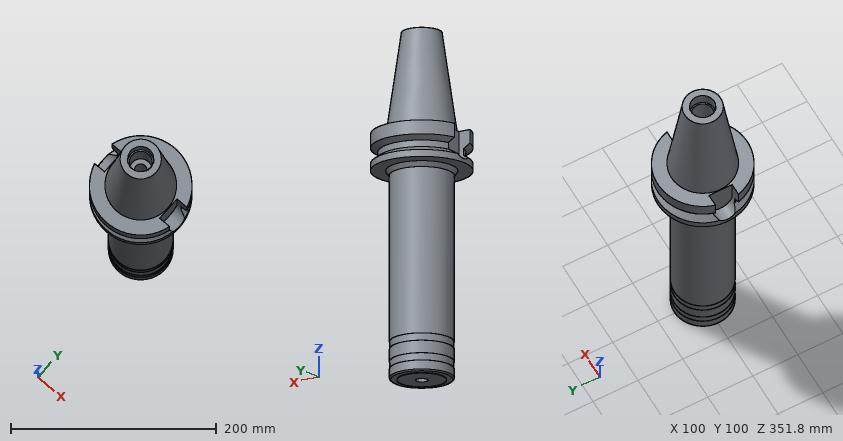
import cadquery as cq

total_length = 351.8
taper_length = 101.5
gauge_z = total_length / 2 - taper_length
bottom_z = -total_length / 2

gauge_radius = 35.0
taper_ratio = 7 / 24
taper_tip_radius = gauge_radius - taper_length * taper_ratio / 2

flange_radius = 50.0
groove_radius = 43.0
flange_top_z = gauge_z - 1.0
upper_rim_z = gauge_z - 15.0
groove_top_z = gauge_z - 19.5
groove_bottom_z = gauge_z - 26.0
lower_rim_z = gauge_z - 31.0
flange_bottom_z = gauge_z - 38.0

body_radius = 31.5
neck_radius = 35.2
neck_bottom_z = flange_bottom_z - 5.0
end_chamfer = 1.5

pad_radius = 24.3
pad_height = 0.7
end_face_z = bottom_z + pad_height

ring_depth = 0.5
ring_width = 7.5
ring_pitch = 20.0
ring_count = 2
lowest_ring_z = bottom_z + 11.3

slot_width = 25.7
slot_wall_x = 35.5
slot_bottom_z = gauge_z - 34.0

coolant_diameter = 12.0
socket_diameter = 25.5
socket_depth = 12.5
thread_diameter = 22.0
thread_depth = 42.2


def revolved_body():
    """Taper, grooved flange and cylindrical body as one revolved outline."""
    outline = [
        (0, bottom_z),
        (pad_radius, bottom_z),
        (pad_radius, end_face_z),
        (body_radius - end_chamfer, end_face_z),
        (body_radius, end_face_z + end_chamfer),
        (body_radius, neck_bottom_z),
        (neck_radius, flange_bottom_z),
        (flange_radius, flange_bottom_z),
        (flange_radius, lower_rim_z),
        (groove_radius, groove_bottom_z),
        (groove_radius, groove_top_z),
        (flange_radius, upper_rim_z),
        (flange_radius, flange_top_z),
        (gauge_radius, flange_top_z),
        (gauge_radius, gauge_z),
        (taper_tip_radius, total_length / 2),
        (0, total_length / 2),
    ]
    return cq.Workplane("XZ").polyline(outline).close().revolve(360, (0, 0, 0), (0, 1, 0))


def drive_slot(side):
    """Round-bottomed slot cutter, open at the flange top; side is +1 or -1 along X."""
    half_width = slot_width / 2
    arc_center_z = slot_bottom_z + half_width
    return (
        cq.Workplane("YZ", origin=(side * slot_wall_x, 0, 0))
        .moveTo(-half_width, gauge_z)
        .lineTo(-half_width, arc_center_z)
        .threePointArc((0, slot_bottom_z), (half_width, arc_center_z))
        .lineTo(half_width, gauge_z)
        .close()
        .extrude(side * flange_radius)
    )


def ring_groove(base_z):
    """Annular cutter for one shallow groove, with its lower edge at base_z."""
    return (
        cq.Workplane("XY", origin=(0, 0, base_z))
        .circle(body_radius + ring_depth)
        .circle(body_radius - ring_depth)
        .extrude(ring_width)
    )


def bore(diameter, depth):
    """Cylinder cutter going down from the taper tip."""
    return (
        cq.Workplane("XY", origin=(0, 0, total_length / 2))
        .circle(diameter / 2)
        .extrude(-depth)
    )


result = revolved_body()
for slot_side in (-1, 1):
    result = result.cut(drive_slot(slot_side))

for ring_index in range(ring_count):
    result = result.cut(ring_groove(lowest_ring_z + ring_index * ring_pitch))

bores = (
    (socket_diameter, socket_depth),
    (thread_diameter, thread_depth),
    (coolant_diameter, total_length),
)
for bore_diameter, bore_depth in bores:
    result = result.cut(bore(bore_diameter, bore_depth))